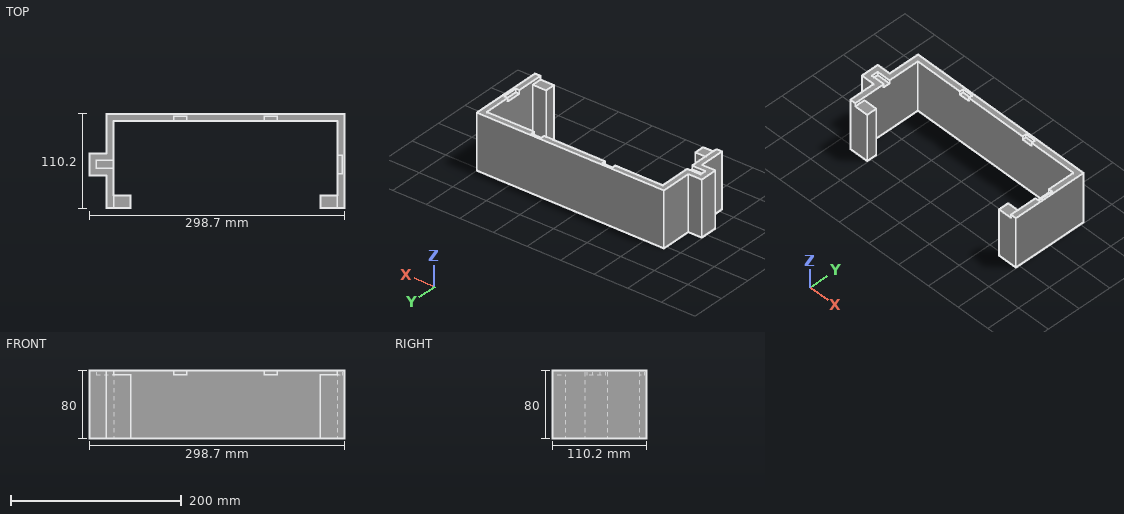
import cadquery as cq

length = 298.7
depth = 110.2
height = 80.0

wall = 8.5
boss_reach = 20.0
frame_left = boss_reach
frame_center_x = (frame_left + length) / 2
inner_left = frame_left + wall
inner_right = length - wall
inner_back = depth - wall

boss_width = 26.0
boss_center_y = 51.0
slot_width = boss_width - 2 * wall

lip_reach = 20.0
lip_width = 15.0

recess_drop = 5.0
notch_depth = 5.5
back_notch_width = 15.0
back_notch_spacing = 105.7
side_notch_width = 21.8
ledge_height = height - recess_drop


def block(x_range, y_range, z_range):
    """Box spanning the given lower and upper limits on each axis."""
    (x0, x1), (y0, y1), (z0, z1) = x_range, y_range, z_range
    return cq.Workplane("XY").box(x1 - x0, y1 - y0, z1 - z0, centered=False).translate((x0, y0, z0))


def span(center, width):
    """Lower and upper limits of a width centered on a position."""
    return (center - width / 2, center + width / 2)


full_height = (0, height)
recess_height = (ledge_height, height)

frame = block((frame_left, length), (0, depth), full_height)
frame = frame.cut(block((inner_left, inner_right), (0, inner_back), full_height))

boss = block((0, inner_left), span(boss_center_y, boss_width), full_height)
body = frame.union(boss)
for lip_x in ((inner_left, inner_left + lip_reach), (inner_right - lip_reach, inner_right)):
    body = body.union(block(lip_x, (0, lip_width), (0, ledge_height)))

body = body.cut(block((wall, inner_left), span(boss_center_y, slot_width), recess_height))

side_notch_x = (inner_right, inner_right + notch_depth)
body = body.cut(block(side_notch_x, span(boss_center_y, side_notch_width), recess_height))

back_notch_y = (inner_back, inner_back + notch_depth)
for notch_x in span(frame_center_x, back_notch_spacing):
    body = body.cut(block(span(notch_x, back_notch_width), back_notch_y, recess_height))

result = body